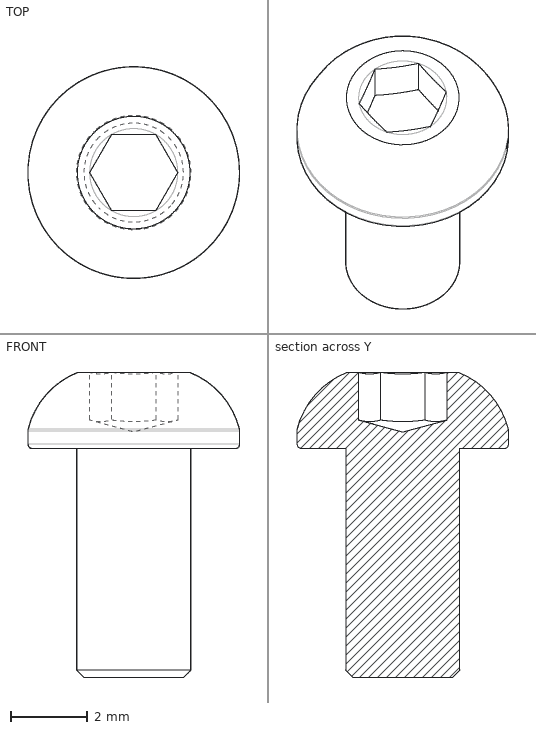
import cadquery as cq
import math

total_length = 8.0
head_height = 2.0
head_radius = 5.55 / 2
shank_radius = 3.0 / 2
crown_flat_radius = 2.95 / 2
dome_radius = 2.16
tip_chamfer = 0.2

rim_height = 0.5
lower_rim_fillet = 0.12
upper_rim_fillet = 0.22

socket_across_flats = 2.0
socket_depth = 1.25
socket_cone_angle = 15.0

head_bottom = total_length - head_height
rim_top = head_bottom + rim_height
socket_corner_radius = socket_across_flats / math.sqrt(3)
cone_slope = math.tan(math.radians(socket_cone_angle))


def dome_midpoint():
    """Middle of the dome arc, found by bulging its chord outwards."""
    chord_run = head_radius - crown_flat_radius
    chord_rise = total_length - rim_top
    half_chord = math.hypot(chord_run, chord_rise) / 2
    bulge = dome_radius - math.sqrt(dome_radius**2 - half_chord**2)
    return (
        (head_radius + crown_flat_radius) / 2 + bulge * chord_rise / (2 * half_chord),
        (total_length + rim_top) / 2 + bulge * chord_run / (2 * half_chord),
    )


def make_head():
    """Domed head with rounded rim edges."""
    profile = (
        cq.Workplane("XZ")
        .moveTo(0, head_bottom)
        .lineTo(head_radius, head_bottom)
        .lineTo(head_radius, rim_top)
        .threePointArc(dome_midpoint(), (crown_flat_radius, total_length))
        .lineTo(0, total_length)
        .close()
    )
    head = profile.revolve(360, (0, 0, 0), (0, 1, 0))
    head = head.faces("<Z").edges().fillet(lower_rim_fillet)
    rim_edge = cq.selectors.NearestToPointSelector((0, 0, rim_top))
    return head.edges("%CIRCLE").edges(rim_edge).fillet(upper_rim_fillet)


def make_shank():
    """Plain shank with a chamfered tip."""
    shank = cq.Workplane("XY").circle(shank_radius).extrude(head_bottom)
    return shank.faces("<Z").edges().chamfer(tip_chamfer)


def make_cone(base_radius, base_z):
    """Downward cone that starts at base_z and ends in a point."""
    return (
        cq.Workplane("XZ")
        .moveTo(0, base_z)
        .lineTo(base_radius, base_z)
        .lineTo(0, base_z - base_radius * cone_slope)
        .close()
        .revolve(360, (0, 0, 0), (0, 1, 0))
    )


def make_socket():
    """Hexagon with corners on the X axis, ending in a conical floor, with a conical mouth."""
    floor_z = total_length - socket_depth
    cone_depth = socket_corner_radius * cone_slope
    hexagon = (
        cq.Workplane("XY")
        .workplane(offset=floor_z - cone_depth)
        .polygon(6, 2 * socket_corner_radius)
        .extrude(socket_depth + cone_depth)
    )
    pointed_bore = (
        cq.Workplane("XY")
        .workplane(offset=floor_z)
        .circle(head_radius)
        .extrude(socket_depth)
        .union(make_cone(socket_corner_radius, floor_z))
    )
    mouth_cone = make_cone(socket_corner_radius, total_length)
    return hexagon.intersect(pointed_bore).union(mouth_cone)


result = make_head().union(make_shank()).cut(make_socket())